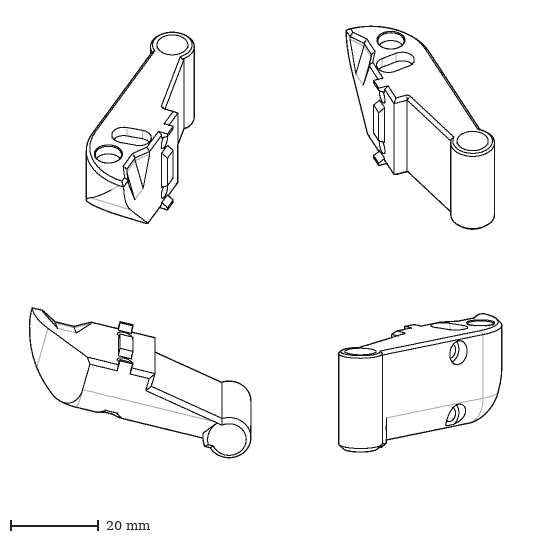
import cadquery as cq
import math

height = 22.65
barrel_radius = 5.0
arm_left = -3.55
arm_right = 11.05
tip_y = barrel_radius - 54.5
nose_radius = 14.05
step_y = -20.45
step_x = 7.8
slope_start_x = 3.65

overlap = 0.55
margin = 2.7

top_chamfer = 0.8
barrel_top_chamfer = 0.5
base_chamfer = 1.1
belly_radius = 7.0

collar_radius = 6.0

chin_start_y = -35.55
chin_angle = math.radians(50)
chin_radius = 16.0

bore_diameter = 7.1
bore_depth = 19.6
bore_tip_diameter = 5.5
bore_tip_depth = 20.7

notch_y = -41.25
notch_depth = 2.0
notch_flat = 4.45
notch_wall_angle = math.radians(60)
notch_straight = 1.65
notch_runout_angle = math.radians(75)

recess_depth = 2.5
slot_diameter = 5.5
slot_center = (5.45, -33.35)
slot_spacing = 3.65
slot_angle = 9.5
pocket_diameter = 6.0
pocket_center = (3.3, notch_y)
pocket_chamfer = 0.2

screw_y = -27.6
screw_heights = (4.0, 18.8)
screw_diameter = 3.4
screw_head_diameter = 5.5
screw_head_depth = 2.7

tab_length = 1.45
tab_root = 1.35
tab_y_max = -26.05
tab_width = 3.05
tab_taper = 1.0
end_tab_height = 1.7
middle_tab_bottom = 6.25
middle_tab_top = 16.45


def left_side():
    """Plate bounded by the straight left face and the round nose, running past the right face."""
    nose_x = arm_left + nose_radius
    nose_y = tip_y + nose_radius
    diagonal = nose_radius * math.sqrt(0.5)
    return (
        cq.Workplane("XY")
        .moveTo(arm_left, 0)
        .lineTo(arm_left, nose_y)
        .threePointArc((nose_x - diagonal, nose_y - diagonal), (nose_x, tip_y))
        .lineTo(arm_right + margin, tip_y)
        .lineTo(arm_right + margin, 0)
        .close()
        .extrude(height)
    )


def right_side_points(notch_points):
    """Corners of a plate bounded by the right side, running past the left face and nose."""
    return [
        (slope_start_x, 0),
        (arm_left - margin, 0),
        (arm_left - margin, tip_y - margin),
        (arm_right, tip_y - margin),
        *notch_points,
        (arm_right, step_y),
        (step_x, step_y),
    ]


def right_side():
    """Right-side plate with a chamfered base and a notched, chamfered top."""
    half_flat = notch_flat / 2
    half_mouth = half_flat + notch_depth * math.tan(notch_wall_angle)
    back = arm_right - notch_depth
    notch_points = [
        (arm_right, notch_y - half_mouth),
        (back, notch_y - half_flat),
        (back, notch_y + half_flat),
        (arm_right, notch_y + half_mouth),
    ]
    straight_z = height - top_chamfer
    bend_z = height - notch_straight
    plain = cq.Workplane("XY").polyline(right_side_points([])).close().extrude(straight_z)
    right_edges = cq.selectors.BoxSelector(
        (slope_start_x, tip_y - margin, -overlap),
        (arm_right + overlap, -overlap, overlap),
    )
    plain = plain.faces("<Z").edges(right_edges).chamfer(base_chamfer)

    mouth = cq.Workplane("XY", origin=(0, 0, bend_z)).polyline(notch_points).close()
    runout_vector = cq.Vector(notch_depth, 0, -notch_depth * math.tan(notch_runout_angle))
    runout = cq.Solid.extrudeLinear(mouth.wires().val(), [], runout_vector)
    plain = plain.cut(mouth.extrude(height)).cut(cq.Workplane(runout))

    rim = (
        cq.Workplane("XY", origin=(0, 0, straight_z))
        .polyline(right_side_points(notch_points))
        .close()
        .extrude(top_chamfer, taper=45)
    )
    return plain.union(rim)


def finished_arm():
    """Arm with its notch, rounded belly and chamfered edges."""
    left_edges = cq.selectors.BoxSelector(
        (arm_left - overlap, tip_y - overlap, -overlap),
        (arm_left + nose_radius / 2, -overlap, height + overlap),
    )
    left = left_side()
    left = left.faces("<Z").edges(left_edges).fillet(belly_radius)
    left = left.faces(">Z").edges(left_edges).chamfer(top_chamfer)
    return left.intersect(right_side())


def barrel():
    """Hinge barrel, chamfered at both ends."""
    return (
        cq.Workplane("XY")
        .circle(barrel_radius)
        .extrude(height)
        .faces(">Z").chamfer(barrel_top_chamfer)
        .faces("<Z").chamfer(base_chamfer)
    )


def collar():
    """Square-cornered part of the arm around the foot of the barrel."""
    foot = cq.Workplane("XY").circle(collar_radius).extrude(height / 2)
    foot = foot.intersect(left_side()).intersect(right_side())
    return foot.faces("<Z").edges("%CIRCLE or <X").chamfer(base_chamfer)


def chin_cut():
    """Material below the sloping chin and its rounding into the nose."""
    corner_z = (chin_start_y - tip_y) * math.tan(chin_angle)
    tangent = chin_radius * math.tan((math.pi / 2 - chin_angle) / 2)
    arc_start = (tip_y + tangent * math.cos(chin_angle), corner_z - tangent * math.sin(chin_angle))
    arc_end = (tip_y, corner_z + tangent)
    middle_angle = (math.pi / 2 - chin_angle) / 2
    arc_middle = (
        tip_y + chin_radius * (1 - math.cos(middle_angle)),
        corner_z + tangent - chin_radius * math.sin(middle_angle),
    )
    below = -overlap
    outside = tip_y - overlap
    return (
        cq.Workplane("YZ", origin=(arm_left - overlap, 0, 0))
        .moveTo(chin_start_y - below / math.tan(chin_angle), below)
        .lineTo(*arc_start)
        .threePointArc(arc_middle, arc_end)
        .lineTo(outside, arc_end[1])
        .lineTo(outside, below)
        .close()
        .extrude(arm_right - arm_left + 2 * overlap)
    )


def tab(root_bottom, root_top, tip_bottom, tip_top):
    """Locating tab with sloping flanks, drawn in XZ and extruded along -Y."""
    tip_x = arm_right + tab_length
    root_x = arm_right - tab_root
    return (
        cq.Workplane("XZ", origin=(0, tab_y_max, 0))
        .polyline([
            (root_x, root_bottom),
            (arm_right, root_bottom),
            (tip_x, tip_bottom),
            (tip_x, tip_top),
            (arm_right, root_top),
            (root_x, root_top),
        ])
        .close()
        .extrude(tab_width)
    )


def hinge_bore():
    """Blind bore with a narrower end."""
    top = cq.Workplane("XY", origin=(0, 0, height))
    wide = top.circle(bore_diameter / 2).extrude(-bore_depth)
    return wide.union(top.circle(bore_tip_diameter / 2).extrude(-bore_tip_depth))


def top_recesses():
    """Angled slot and round pocket with a chamfered rim."""
    top = cq.Workplane("XY", origin=(0, 0, height))
    slot = (
        top.center(*slot_center)
        .slot2D(slot_spacing + slot_diameter, slot_diameter, slot_angle)
        .extrude(-recess_depth)
    )
    pocket = top.center(*pocket_center).circle(pocket_diameter / 2).extrude(-recess_depth)
    rim = (
        top.center(*pocket_center)
        .circle(pocket_diameter / 2 + pocket_chamfer)
        .extrude(-pocket_chamfer, taper=45)
    )
    return slot.union(pocket).union(rim)


def screw_hole(z):
    """Through hole along X, counterbored from the left face."""
    face = cq.Workplane("YZ", origin=(arm_left - overlap, screw_y, z))
    hole = face.circle(screw_diameter / 2).extrude(arm_right - arm_left + 2 * overlap)
    return hole.union(face.circle(screw_head_diameter / 2).extrude(screw_head_depth + overlap))


result = finished_arm().union(collar()).union(barrel()).cut(chin_cut())

end_tip_height = end_tab_height - tab_taper
result = result.union(tab(0, end_tab_height, 0, end_tip_height))
result = result.union(tab(
    middle_tab_bottom, middle_tab_top, middle_tab_bottom + tab_taper, middle_tab_top - tab_taper
))
result = result.union(tab(height - end_tab_height, height, height - end_tip_height, height))

result = result.cut(hinge_bore()).cut(top_recesses())
for screw_z in screw_heights:
    result = result.cut(screw_hole(screw_z))